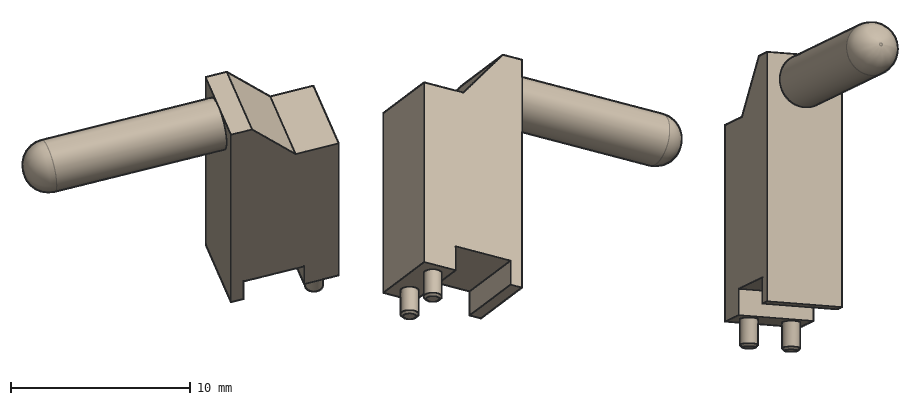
import cadquery as cq

TOTAL_LENGTH = 17.78
TOTAL_HEIGHT = 15.8
HOUSING_WIDTH = 4.52
HOUSING_DEPTH = 6.35

TOP_LAND_DEPTH = 1.25
SLOPE_DEPTH = 2.56

FRONT_FOOT_DEPTH = 0.75
REAR_FOOT_DEPTH = 2.05
SLOT_HEIGHT = 1.5

PEG_DIAMETER = 1.03
PEG_LENGTH = 1.6
PEG_SPACING = 2.55
PEG_TO_REAR_FACE = 1.14
PEG_CHAMFER = 0.15

ROD_DIAMETER = 3.0
ROD_TIP_RADIUS = 1.42

housing_height = TOTAL_HEIGHT - PEG_LENGTH
step_height = housing_height - ROD_DIAMETER
rod_length = TOTAL_LENGTH - HOUSING_DEPTH
rod_axis_height = housing_height - ROD_DIAMETER / 2


def make_peg(x):
    """Peg hanging below the rear foot, chamfered at its free end."""
    return (
        cq.Workplane("XY")
        .center(x, HOUSING_DEPTH - PEG_TO_REAR_FACE)
        .circle(PEG_DIAMETER / 2)
        .extrude(-PEG_LENGTH)
        .faces("<Z")
        .chamfer(PEG_CHAMFER)
    )


def make_housing():
    """Side profile extruded across the width, with its two moulded-on pegs."""
    slot_rear = HOUSING_DEPTH - REAR_FOOT_DEPTH
    profile = [
        (0, 0),
        (0, housing_height),
        (TOP_LAND_DEPTH, housing_height),
        (TOP_LAND_DEPTH + SLOPE_DEPTH, step_height),
        (HOUSING_DEPTH, step_height),
        (HOUSING_DEPTH, 0),
        (slot_rear, 0),
        (slot_rear, SLOT_HEIGHT),
        (FRONT_FOOT_DEPTH, SLOT_HEIGHT),
        (FRONT_FOOT_DEPTH, 0),
    ]
    body = cq.Workplane("YZ").polyline(profile).close().extrude(HOUSING_WIDTH / 2, both=True)
    for side in (-1, 1):
        body = body.union(make_peg(side * PEG_SPACING / 2))
    return body


def make_rod():
    """Rod butted against the front face, level with the top of the housing."""
    return (
        cq.Workplane("XZ")
        .center(0, rod_axis_height)
        .circle(ROD_DIAMETER / 2)
        .extrude(rod_length)
        .faces("<Y")
        .edges()
        .fillet(ROD_TIP_RADIUS)
    )


housing = make_housing()
rod = make_rod()

result = cq.Compound.makeCompound([housing.solids().val(), rod.solids().val()])